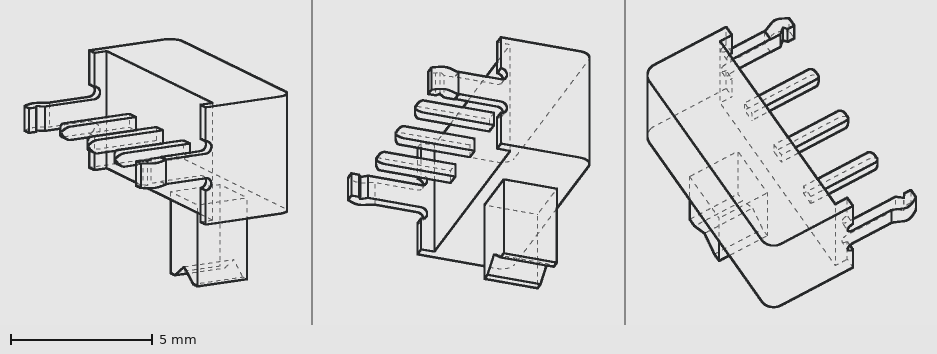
import cadquery as cq

housing_width = 8.61
housing_depth = 2.99
housing_height = 4.31
corner_radius = 0.5

cheek_thickness = 0.4
cheek_length = 0.5

leg_height = 0.9
relief_radius = 0.225
hook_start = 2.09
leg_reach = 3.11
hook_bulge = 0.2
right_hook_drop = 0.02

pin_width = 0.5
pin_pitch = 2.0
pin_length = 2.88
pin_tip_length = 0.21
pin_count = 3
pin_lift = 0.01

lever_size = 2.0
lever_length = 2.99
lever_offset = 0.89
lever_back_inset = 0.5
notch_width = 1.35
notch_depth = 0.48

half_width = housing_width / 2
half_height = housing_height / 2


def make_housing():
    """Block with rounded rear edges."""
    block = cq.Workplane("XY").box(housing_width, housing_depth, housing_height)
    block = block.translate((0, housing_depth / 2, 0))
    return block.edges("|Z and >Y").fillet(corner_radius)


def make_cheek_and_leg():
    """Cheek with its straight leg on the -X side, relieved by round notches at the leg root."""
    cheek = cq.Workplane("XY").box(cheek_thickness, cheek_length, housing_height)
    cheek = cheek.translate((-half_width + cheek_thickness / 2, -cheek_length / 2, 0))
    relief_height = leg_height / 2 + relief_radius
    reliefs = (
        cq.Workplane("YZ", origin=(-half_width, 0, 0))
        .pushPoints([(-cheek_length, relief_height), (-cheek_length, -relief_height)])
        .circle(relief_radius)
        .extrude(cheek_thickness)
    )
    leg = cq.Workplane("XY").box(cheek_thickness, hook_start, leg_height)
    leg = leg.translate((-half_width + cheek_thickness / 2, -hook_start / 2, 0))
    return cheek.cut(reliefs).union(leg)


def make_hook():
    """Bulged snap hook on the -X side; outline x is measured inward from the housing side."""
    bulge_shoulder = 0.15
    bulge_start = 2.45
    bulge_end = 2.83
    inner_bend = 2.5
    notch_tip = (0.21, -2.72)
    foot_width = 0.35
    foot_top = 2.83
    bulge_curve = [
        (-bulge_shoulder, -bulge_start),
        (-hook_bulge, -(bulge_start + bulge_end) / 2),
        (-bulge_shoulder, -bulge_end),
        (0, -leg_reach),
    ]
    return (
        cq.Workplane("XY", origin=(-half_width, 0, -leg_height / 2))
        .moveTo(0, -hook_start)
        .spline(bulge_curve, includeCurrent=True)
        .lineTo(foot_width, -leg_reach)
        .lineTo(foot_width, -foot_top)
        .lineTo(*notch_tip)
        .lineTo(cheek_thickness, -inner_bend)
        .lineTo(cheek_thickness, -hook_start)
        .close()
        .extrude(leg_height)
    )


def pin_profile(plane):
    """Round-ended pin outline extruded symmetrically across the pin."""
    half_pin = pin_width / 2
    shoulder = -(pin_length - pin_tip_length)
    profile = (
        cq.Workplane(plane)
        .moveTo(-half_pin, 0)
        .lineTo(-half_pin, shoulder)
        .threePointArc((0, -pin_length), (half_pin, shoulder))
        .lineTo(half_pin, 0)
        .close()
    )
    return profile.extrude(half_pin, both=True)


def make_pin():
    """Square pin whose tip is rounded in both directions."""
    side_plane = cq.Plane(origin=(0, 0, 0), xDir=(0, 0, 1), normal=(-1, 0, 0))
    return pin_profile("XY").intersect(pin_profile(side_plane))


def make_lever():
    """Square lever below the housing with a V notch across its end."""
    top = -half_height
    bottom = top - lever_length
    half_lever = lever_size / 2
    half_notch = notch_width / 2
    outline = [
        (-half_lever, top),
        (-half_lever, bottom),
        (-half_notch, bottom),
        (0, bottom + notch_depth),
        (half_notch, bottom),
        (half_lever, bottom),
        (half_lever, top),
    ]
    lever_back = housing_depth - lever_back_inset
    return (
        cq.Workplane("XZ", origin=(lever_offset, lever_back, 0))
        .polyline(outline)
        .close()
        .extrude(lever_size)
    )


cheek_and_leg = make_cheek_and_leg()
hook = make_hook()
right_hook = hook.mirror("YZ").translate((0, 0, -right_hook_drop))

result = make_housing().union(make_lever())
result = result.union(cheek_and_leg).union(cheek_and_leg.mirror("YZ"))
result = result.union(hook).union(right_hook)

pin = make_pin()
for index in range(pin_count):
    pin_x = (index - (pin_count - 1) / 2) * pin_pitch
    result = result.union(pin.translate((pin_x, 0, pin_lift)))